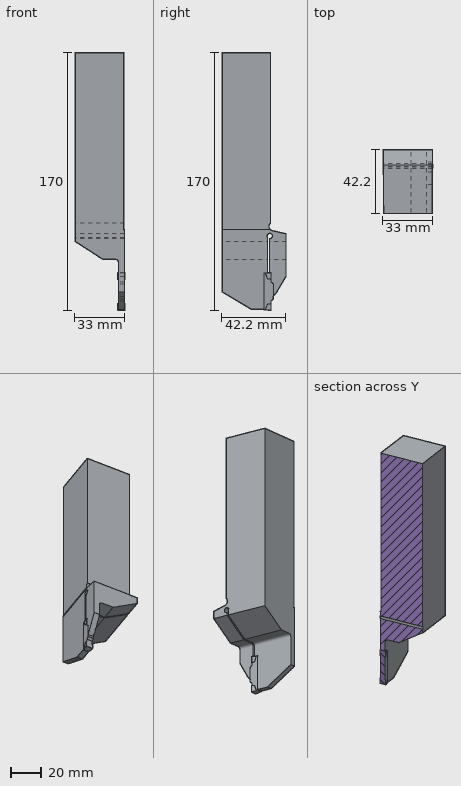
import cadquery as cq

total_height = 170.0
shank_depth = 32.0
shank_right = 32.1
head_right = 32.6
head_top = 53.4
flank_lean = 0.3
lug_back = 42.2
lug_rear_top = 50.7
notch_start = 57.6
notch_deep = (31.0, 55.2)
notch_end = (33.3, 52.7)
nose_height = 0.8
nose_back = 28.2
nose_front = 19.2
front_chamfer_top = 12.2
finger_bottom = 22.5
finger_knee = (36.0, 12.0)
finger_tip = (33.7, 9.2)

blade_left = 28.5
shoulder_height = 33.7
shoulder_left = 18.4
shoulder_chamfer_top = 45.5
shoulder_fillet = 1.9

hole_y = 31.5
hole_z = 49.1
hole_radius = 1.7
slit_y = 30.6
slit_width = 1.0

insert_length = 25.2
insert_middle = insert_length / 2
insert_front = 27.5
insert_rake = 32.3
insert_crest = 33.8
crest_half = 5.0
neck_half = 6.3
end_relief = 0.5
edge_width = 5.0
edge_center = 33.0 - edge_width / 2
edge_length = 4.6
edge_root = 28.5
edge_knee = (30.0, 4.2)
edge_corner = 0.3
overlap = 1.7


def side_prism(points, left, right):
    """Extrude an outline of (y, z) points from left to right along X."""
    return cq.Workplane("YZ", origin=(left, 0, 0)).polyline(points).close().extrude(right - left)


def front_prism(points):
    """Extrude an outline of (x, z) points through the whole depth along Y."""
    return cq.Workplane("XZ").polyline(points).close().extrude(-lug_back)


def make_insert_outline(left, right):
    def end_points(side):
        return [
            (insert_front, insert_middle + side * (insert_middle - end_relief)),
            (insert_rake, insert_middle + side * insert_middle),
            (insert_rake, insert_middle + side * neck_half),
            (insert_crest, insert_middle + side * crest_half),
        ]

    return side_prism(end_points(-1) + end_points(1)[::-1], left, right)


def make_cutting_end():
    """The lower cutting end, flared towards its rake face."""
    outline = [
        (insert_rake, 0),
        (edge_root, end_relief * (insert_rake - edge_root) / (insert_rake - insert_front)),
        edge_knee,
        (insert_rake, edge_length),
    ]
    half_edge = edge_width / 2
    end = side_prism(outline, edge_center - half_edge, edge_center + half_edge)
    end = end.intersect(
        cq.Workplane("XY")
        .polyline([
            (blade_left, edge_root),
            (head_right, edge_root),
            (edge_center + half_edge, insert_rake),
            (edge_center - half_edge, insert_rake),
        ])
        .close()
        .extrude(insert_length)
    )
    corner_trim = (
        cq.Workplane("XZ")
        .rect(edge_width, 2 * insert_length)
        .extrude(-lug_back)
        .edges("|Y and <Z")
        .chamfer(edge_corner)
        .translate((edge_center, 0, insert_length))
    )
    return end.intersect(corner_trim)


def make_insert():
    lower_end = make_cutting_end()
    upper_end = lower_end.mirror("XY", (0, 0, insert_middle))
    return make_insert_outline(blade_left, head_right).union(lower_end).union(upper_end)


def make_holder():
    body = (
        cq.Workplane("YZ")
        .moveTo(0, total_height)
        .lineTo(0, front_chamfer_top)
        .lineTo(nose_front, nose_height)
        .lineTo(nose_back, nose_height)
        .lineTo(*finger_tip)
        .lineTo(*finger_knee)
        .lineTo(lug_back, finger_bottom)
        .lineTo(lug_back, lug_rear_top)
        .lineTo(*notch_end)
        .threePointArc(notch_deep, (shank_depth, notch_start))
        .lineTo(shank_depth, total_height)
        .close()
        .extrude(head_right)
    )

    profile = front_prism([
        (0, total_height),
        (shank_right, total_height),
        (shank_right, head_top),
        (head_right, head_top),
        (head_right, 0),
        (blade_left, 0),
        (blade_left, shoulder_height),
        (shoulder_left, shoulder_height),
        (0, shoulder_chamfer_top),
    ])
    inner_corner = cq.selectors.NearestToPointSelector((blade_left, lug_back / 2, shoulder_height))
    body = body.intersect(profile.edges("|Y").edges(inner_corner).fillet(shoulder_fillet))

    lean = (
        cq.Workplane("XY")
        .polyline([(0, 0), (flank_lean, 0), (0, lug_back)])
        .close()
        .extrude(total_height)
    )
    body = body.cut(lean)

    hole = cq.Workplane("YZ").center(hole_y, hole_z).circle(hole_radius).extrude(head_right)
    slit = cq.Workplane("XY").box(
        head_right, slit_width, hole_z - insert_middle, centered=(False, True, False)
    ).translate((0, slit_y, insert_middle))
    seat = make_insert_outline(blade_left - overlap, head_right + overlap)
    return body.cut(hole).cut(slit).cut(seat)


holder = make_holder()
cutting_insert = make_insert()
result = cq.Compound.makeCompound([holder.val(), cutting_insert.val()])